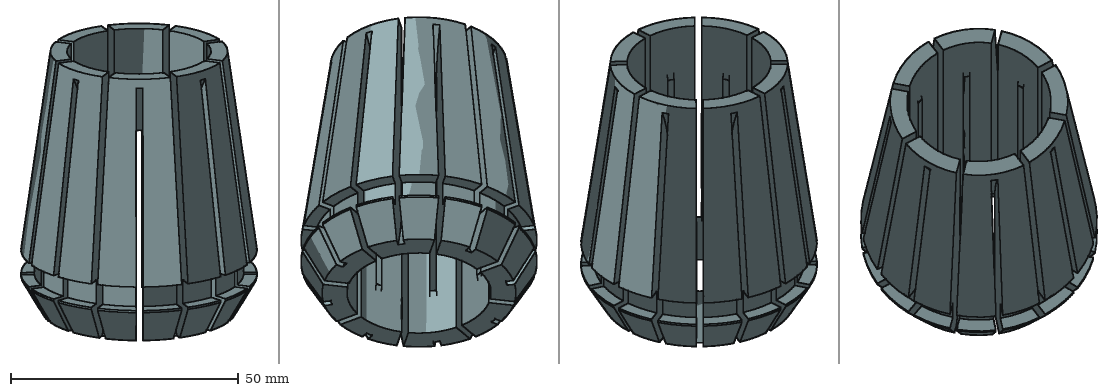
import cadquery as cq
import math

height = 60.0
outer_radius = 51.95 / 2
bore_radius = 15.85

upper_taper_angle = 8.0
lower_taper_angle = 30.0
taper_start = 14.0
groove_bottom = 8.5
groove_radius = 23.05
rim_thickness = 0.5

slots_per_end = 8
slot_width = 1.5
saw_radius = 30.0
saw_reach_radius = 15.55
end_web = 1.9
top_slot_exit_radius = 19.7
clearance = 3.0

top_radius = outer_radius - (height - taper_start) * math.tan(math.radians(upper_taper_angle))
rim_bottom = groove_bottom - rim_thickness
bottom_radius = outer_radius - rim_bottom * math.tan(math.radians(lower_taper_angle))
slot_pitch = 360.0 / slots_per_end
saw_center_radius = saw_reach_radius + saw_radius


def make_body():
    """Revolve the collet wall around the Z axis."""
    wall = [
        (bore_radius, 0),
        (bottom_radius, 0),
        (outer_radius, rim_bottom),
        (outer_radius, groove_bottom),
        (groove_radius, groove_bottom),
        (groove_radius, taper_start),
        (outer_radius, taper_start),
        (top_radius, height),
        (bore_radius, height),
    ]
    return cq.Workplane("XZ").polyline(wall).close().revolve(360, (0, 0), (0, 1))


def saw_rise(radius):
    """Height of the saw's edge above its center, at a distance from the Z axis."""
    return math.sqrt(saw_radius**2 - (saw_center_radius - radius) ** 2)


def make_slot(open_end, saw_center, direction):
    """Radial slot along +X, open at one end and ending in the saw's arc at the other.

    direction is +1 when the saw runs upwards and -1 when it runs downwards.
    """
    start = open_end - direction * clearance
    diagonal = saw_radius * math.sqrt(0.5)
    arc_middle = (saw_center_radius - diagonal, saw_center + direction * diagonal)
    arc_end = (saw_center_radius, saw_center + direction * saw_radius)
    return (
        cq.Workplane("XZ")
        .moveTo(saw_reach_radius, start)
        .lineTo(saw_reach_radius, saw_center)
        .threePointArc(arc_middle, arc_end)
        .lineTo(saw_center_radius, start)
        .close()
        .extrude(slot_width / 2, both=True)
    )


def cut_around(body, slot, first_angle):
    """Cut equally spaced copies of a slot around the Z axis."""
    for index in range(slots_per_end):
        angle = first_angle + index * slot_pitch
        body = body.cut(slot.rotate((0, 0, 0), (0, 0, 1), angle))
    return body


web_radius = top_radius + end_web * math.tan(math.radians(upper_taper_angle))
bottom_saw_center = height - end_web - saw_rise(web_radius)
bottom_slot = make_slot(0, bottom_saw_center, 1)

top_saw_center = saw_rise(top_slot_exit_radius)
top_slot = make_slot(height, top_saw_center, -1)

result = make_body()
result = cut_around(result, bottom_slot, 0)
result = cut_around(result, top_slot, slot_pitch / 2)